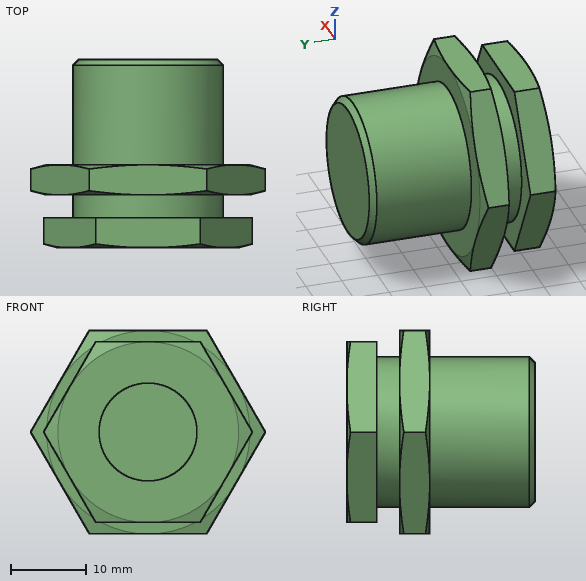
import cadquery as cq
import math

total_length = 25.0
body_diameter = 20.0
bore_diameter = 13.0
bore_depth = 7.0
end_chamfer = 0.8

head_across_flats = 24.0
head_thickness = 4.0
nut_across_flats = 27.0
nut_thickness = 4.0
nut_gap = 3.0
corner_bevel_angle = 15.0

hexagon_sides = 6
nut_start = head_thickness + nut_gap


def cylinder(diameter, start, length):
    """Cylinder along +Y, beginning at Y = start."""
    plane = cq.Workplane("XZ", origin=(0, start, 0))
    return plane.circle(diameter / 2).extrude(-length)


def beveled_hexagon(across_flats, start, thickness, bevel_far_face):
    """Hexagon along +Y with corners on the X axis, its corners turned down to a cone."""
    flat_radius = across_flats / 2
    corner_radius = flat_radius / math.cos(math.pi / hexagon_sides)
    bevel_depth = (corner_radius - flat_radius) * math.tan(math.radians(corner_bevel_angle))
    end = start + thickness

    plane = cq.Workplane("XZ", origin=(0, start, 0))
    hexagon = plane.polygon(hexagon_sides, 2 * corner_radius).extrude(-thickness)

    profile = cq.Workplane("XY").moveTo(0, start).lineTo(flat_radius, start)
    profile = profile.lineTo(corner_radius, start + bevel_depth)
    if bevel_far_face:
        profile = profile.lineTo(corner_radius, end - bevel_depth).lineTo(flat_radius, end)
    else:
        profile = profile.lineTo(corner_radius, end)
    envelope = profile.lineTo(0, end).close().revolve(360, (0, 0, 0), (0, 1, 0))
    return hexagon.intersect(envelope)


body = cylinder(body_diameter, 0, total_length).faces(">Y").chamfer(end_chamfer)

head = beveled_hexagon(head_across_flats, 0, head_thickness, bevel_far_face=False)
nut = beveled_hexagon(nut_across_flats, nut_start, nut_thickness, bevel_far_face=True)

bore = cylinder(bore_diameter, 0, bore_depth)

result = body.union(head).union(nut).cut(bore)